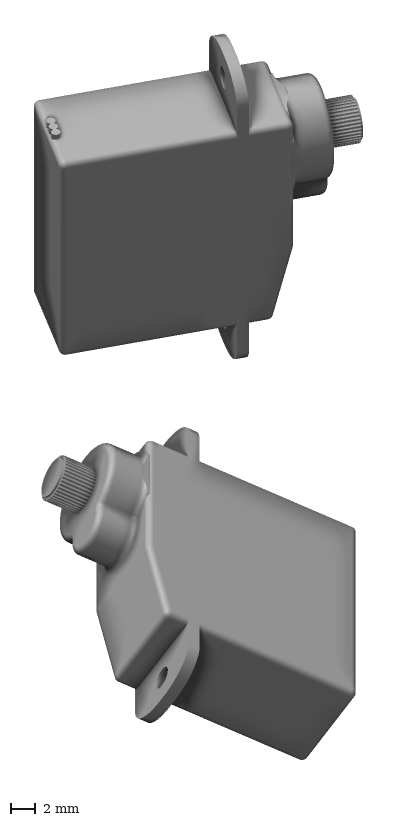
import cadquery as cq
import math

body_width = 8.62
body_height = 20.27
body_depth = 19.48
edge_radius = 0.5
slant_start_z = -2.85
slant_end_y = 17.7

ear_span = 30.25
ear_thickness = 1.0
ear_back_y = 14.7
ear_curve_height = 2.5
ear_flat_width = 0.8
ear_hole_diameter = 1.9

boss_height = 3.42
boss_radius = body_width / 2
boss_center_z = body_height / 2 - boss_radius
small_boss_radius = 2.27
small_boss_drop = 4.3
boss_base_y = body_depth - edge_radius
flare_inset = 0.1

shaft_length = 3.0
shaft_diameter = 3.95
shaft_tip_diameter = 3.42
shaft_tip_length = 0.18
groove_count = 40
groove_radius = 0.12

pin_diameter = 0.75
pin_pitch = 0.73
pin_count = 3
pin_rise = 0.48
pin_center_y = 0.57


def plane_at(start_y):
    """Workplane whose +normal is +Y; its local x runs along -X."""
    return cq.Workplane("XZ", origin=(0, start_y, 0)).transformed(rotate=(0, 180, 0))


def make_case():
    half_height = body_height / 2
    return (
        cq.Workplane("YZ")
        .moveTo(0, -half_height)
        .lineTo(slant_end_y, -half_height)
        .lineTo(body_depth, slant_start_z)
        .lineTo(body_depth, half_height)
        .lineTo(0, half_height)
        .close()
        .extrude(body_width / 2, both=True)
        .edges()
        .fillet(edge_radius)
    )


def make_ears():
    half_flat = ear_flat_width / 2
    half_width = body_width / 2
    curve_width = half_width - half_flat
    curve_z = ear_span / 2 - ear_curve_height
    plate = (
        plane_at(ear_back_y)
        .moveTo(half_width, -curve_z)
        .lineTo(half_width, curve_z)
        .ellipseArc(curve_width, ear_curve_height, 0, 90, startAtCurrent=True)
        .lineTo(-half_flat, ear_span / 2)
        .ellipseArc(curve_width, ear_curve_height, 90, 180, startAtCurrent=True)
        .lineTo(-half_width, -curve_z)
        .ellipseArc(curve_width, ear_curve_height, 180, 270, startAtCurrent=True)
        .lineTo(half_flat, -ear_span / 2)
        .ellipseArc(curve_width, ear_curve_height, 270, 360, startAtCurrent=True)
        .close()
        .extrude(ear_thickness)
    )
    holes = (
        plane_at(ear_back_y)
        .pushPoints([(0, -curve_z), (0, curve_z)])
        .circle(ear_hole_diameter / 2)
        .extrude(ear_thickness)
    )
    return plate.cut(holes)


def make_boss():
    depth = body_depth + boss_height - boss_base_y
    drum = plane_at(boss_base_y).center(0, boss_center_z).circle(boss_radius).extrude(depth)
    tail = (
        plane_at(boss_base_y)
        .center(0, boss_center_z)
        .moveTo(-small_boss_radius, 0)
        .lineTo(-small_boss_radius, -small_boss_drop)
        .threePointArc((0, -small_boss_drop - small_boss_radius), (small_boss_radius, -small_boss_drop))
        .lineTo(small_boss_radius, 0)
        .close()
        .extrude(depth)
    )
    corner_z = boss_center_z - math.sqrt(boss_radius**2 - small_boss_radius**2)
    boss = drum.union(tail)
    for x in (-small_boss_radius, small_boss_radius):
        corner = cq.selectors.NearestToPointSelector((x, boss_base_y + depth / 2, corner_z))
        boss = boss.edges(corner).fillet(edge_radius)
    return boss.faces(">Y").edges().fillet(edge_radius)


def make_flared_boss():
    """Boss with a concave flare at its foot, trimmed just inside the case sides."""
    boss = make_boss()
    apron_size = (2 * body_width, 2 * body_height)
    apron = plane_at(boss_base_y).rect(*apron_size).extrude(edge_radius)
    reach = body_width / 2 + edge_radius
    foot_edges = cq.selectors.BoxSelector(
        (-reach, body_depth - edge_radius / 2, -body_height / 2),
        (reach, body_depth + edge_radius / 2, body_height),
        boundingbox=True,
    )
    flared = apron.union(boss).edges(foot_edges).fillet(edge_radius)
    flare_depth = 2 * edge_radius
    foot = boss.faces("<Y").wires().toPending().workplane().offset2D(edge_radius).extrude(-flare_depth)
    trim = (
        cq.Workplane("XY")
        .box(body_width - 2 * flare_inset, 2 * body_depth, body_height - 2 * flare_inset)
        .translate((0, body_depth, 0))
    )
    flare = flared.intersect(foot).intersect(trim)
    above_flare = plane_at(body_depth + edge_radius).rect(*apron_size).extrude(boss_height)
    return flare.union(boss.intersect(above_flare))


def make_shaft():
    """Output spline: a plain tip, and a longer barrel with half-round grooves along it."""
    base = plane_at(body_depth + boss_height).center(0, boss_center_z)
    barrel_length = shaft_length - shaft_tip_length
    barrel = base.circle(shaft_diameter / 2).extrude(barrel_length)
    grooves = (
        base.polarArray(shaft_diameter / 2, 0, 360, groove_count)
        .circle(groove_radius)
        .extrude(barrel_length)
    )
    core = base.circle(shaft_tip_diameter / 2).extrude(shaft_length)
    return barrel.cut(grooves).union(core)


def make_pins():
    height = edge_radius + pin_rise
    first_x = -pin_pitch * (pin_count - 1) / 2
    pins = cq.Workplane("XY")
    for index in range(pin_count):
        spot = (first_x + index * pin_pitch, pin_center_y, body_height / 2 - edge_radius)
        pins = pins.union(cq.Workplane("XY", origin=spot).circle(pin_diameter / 2).extrude(height))
    return pins


result = (
    make_case()
    .union(make_flared_boss())
    .union(make_shaft())
    .union(make_ears())
    .union(make_pins())
)